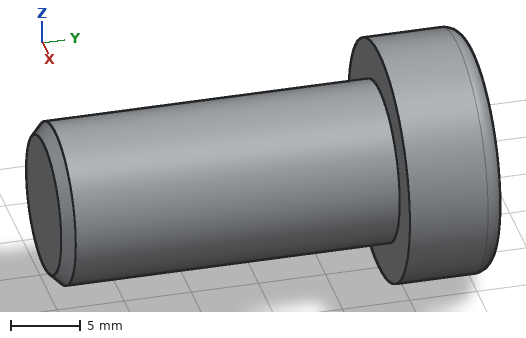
import cadquery as cq

total_length = 32.0
head_diameter = 18.0
head_height = 7.0
head_fillet = 1.2
shank_diameter = 12.0
tip_chamfer = 0.85

shank_length = total_length - head_height


def make_shank():
    """Cylinder from the tip to the underside of the head, chamfered at the tip."""
    shank = cq.Workplane("XZ").circle(shank_diameter / 2).extrude(shank_length)
    return shank.faces("<Y").edges().chamfer(tip_chamfer)


def make_head():
    """Cylindrical head with a rounded outer rim."""
    head = cq.Workplane("XZ").circle(head_diameter / 2).extrude(-head_height)
    return head.faces(">Y").edges().fillet(head_fillet)


pin = make_shank().union(make_head())
result = pin.translate((0, (shank_length - head_height) / 2, 0))